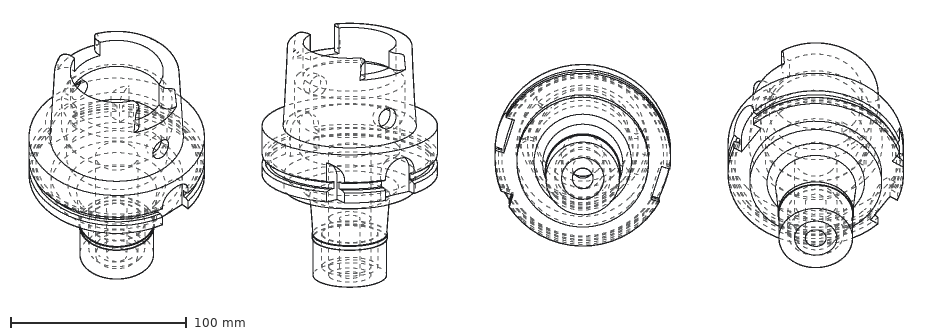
import cadquery as cq
import math

total_length = 140.0
shank_length = 50.0
flange_radius = 50.0
flange_height = 29.0
flange_bottom = -flange_height
part_top = shank_length
part_bottom = shank_length - total_length

taper_slope = 0.05
shank_base_radius = 38.0
shank_top_radius = shank_base_radius - taper_slope * shank_length
rim_fillet = 2.2

chamfer_angle = math.radians(30)

groove_floor_radius = 46.0
groove_chamfer_width = 2.0
groove_chamfer_height = groove_chamfer_width * math.tan(chamfer_angle)
groove_height = 4.0
groove_middle = -19.9
groove_top = groove_middle + groove_height / 2
groove_low = groove_middle - groove_height / 2

collar_radius = 37.5
collar_height = 8.0
collar_bottom = flange_bottom - collar_height
neck_cone_top_radius = 27.7
neck_cone_height = 4.9
neck_top_radius = neck_cone_top_radius - neck_cone_height
neck_top = collar_bottom - neck_cone_height
neck_bottom_radius = 21.1

nut_radius = 21.0
nut_lip_radius = 21.4
nut_lip_height = 2.4
nut_height = 24.8
nut_top = part_bottom + nut_height
nut_end_wall = 5.0
nut_gap = 0.4
neck_bottom = nut_top + nut_gap
nose_radius = 16.0
nose_bottom = part_bottom + nut_end_wall

bore_radius = 26.5
bore_depth = 19.9
undercut_radius = 31.5
undercut_top = part_top - bore_depth
undercut_shoulder = (undercut_radius - bore_radius) * math.tan(chamfer_angle)
undercut_bottom = 9.8
undercut_fillet = 10.0
base_bore_radius = 28.7
bore_floor = -14.7

collet_radius = 12.0
collet_bore_radius = 5.9
collet_length = 34.0

drive_slot_half_width = 10.0
lug_half_length = 32.2
lug_end_radius = 5.0
drive_slot_depth_minus_x = 10.1
drive_slot_depth_plus_x = 15.5

cross_hole_diameter = 12.0
cross_hole_height = 15.0

key_slot_radius = 10.0
key_slot_top = -5.2
key_slot_floor = 44.0
notch_floor = 31.5


def holder_blank():
    """Solid of revolution for the shank, the flange, the collar, the neck and the nose."""
    groove_mouth_radius = flange_radius - groove_chamfer_width
    return (
        cq.Workplane("YZ")
        .moveTo(0, part_top)
        .lineTo(shank_top_radius, part_top)
        .lineTo(shank_base_radius, 0)
        .lineTo(flange_radius, 0)
        .lineTo(flange_radius, groove_top + groove_chamfer_height)
        .lineTo(groove_mouth_radius, groove_top)
        .lineTo(groove_floor_radius, groove_top)
        .lineTo(groove_floor_radius, groove_low)
        .lineTo(groove_mouth_radius, groove_low)
        .lineTo(flange_radius, groove_low - groove_chamfer_height)
        .lineTo(flange_radius, flange_bottom)
        .lineTo(collar_radius, flange_bottom)
        .lineTo(collar_radius, collar_bottom)
        .lineTo(neck_cone_top_radius, collar_bottom)
        .lineTo(neck_top_radius, neck_top)
        .lineTo(neck_bottom_radius, neck_bottom)
        .lineTo(nose_radius, neck_bottom)
        .lineTo(nose_radius, nose_bottom)
        .lineTo(0, nose_bottom)
        .close()
        .revolve(360, (0, 0, 0), (0, 1, 0))
        .faces(">Z")
        .edges()
        .fillet(rim_fillet)
    )


def shank_bore():
    """Shank bore with its clamping undercut, the wide base bore and the axial hole for the collet."""
    fillet_center_radius = undercut_radius - undercut_fillet
    fillet_sweep = math.acos((base_bore_radius - fillet_center_radius) / undercut_fillet)

    def fillet_point(angle):
        """Point on the undercut fillet, by the angle from where it leaves the undercut wall."""
        return (
            fillet_center_radius + undercut_fillet * math.cos(angle),
            undercut_bottom - undercut_fillet * math.sin(angle),
        )

    return (
        cq.Workplane("YZ")
        .moveTo(0, part_top)
        .lineTo(bore_radius, part_top)
        .lineTo(bore_radius, undercut_top)
        .lineTo(undercut_radius, undercut_top - undercut_shoulder)
        .lineTo(undercut_radius, undercut_bottom)
        .threePointArc(fillet_point(fillet_sweep / 2), fillet_point(fillet_sweep))
        .lineTo(base_bore_radius, bore_floor)
        .lineTo(collet_radius, bore_floor)
        .lineTo(collet_radius, nose_bottom)
        .lineTo(0, nose_bottom)
        .close()
        .revolve(360, (0, 0, 0), (0, 1, 0))
    )


def drive_slot(side, depth):
    """Slot through the rim at side * X; it flares at the mouth to round the lug ends."""
    corner_start = lug_half_length - lug_end_radius
    corner_offset = lug_end_radius * math.sqrt(0.5)
    flare_half_width = drive_slot_half_width + lug_end_radius
    half_slot = (
        cq.Workplane("XY", origin=(0, 0, part_top - depth))
        .lineTo(0, drive_slot_half_width)
        .lineTo(side * corner_start, drive_slot_half_width)
        .threePointArc(
            (side * (corner_start + corner_offset), flare_half_width - corner_offset),
            (side * lug_half_length, flare_half_width),
        )
        .lineTo(side * lug_half_length, flange_radius)
        .lineTo(side * flange_radius, flange_radius)
        .lineTo(side * flange_radius, 0)
        .close()
        .extrude(depth)
    )
    return half_slot.union(half_slot.mirror("XZ"))


def cross_hole():
    """Round hole along X through both walls of the shank."""
    return (
        cq.Workplane("YZ", origin=(-flange_radius, 0, cross_hole_height))
        .circle(cross_hole_diameter / 2)
        .extrude(2 * flange_radius)
    )


def arched_slot(side, floor, middle_y):
    """Arch-topped slot in the flange, open downwards and outwards from x = side * floor."""
    arch_middle = key_slot_top - key_slot_radius
    return (
        cq.Workplane("YZ", origin=(side * floor, 0, 0))
        .moveTo(middle_y - key_slot_radius, flange_bottom)
        .lineTo(middle_y - key_slot_radius, arch_middle)
        .threePointArc((middle_y, key_slot_top), (middle_y + key_slot_radius, arch_middle))
        .lineTo(middle_y + key_slot_radius, flange_bottom)
        .close()
        .extrude(side * flange_radius)
    )


def make_holder():
    """Tool holder: blank less the bore, the drive slots, the cross hole and the flange slots."""
    return (
        holder_blank()
        .cut(shank_bore())
        .cut(drive_slot(-1, drive_slot_depth_minus_x))
        .cut(drive_slot(1, drive_slot_depth_plus_x))
        .cut(cross_hole())
        .cut(arched_slot(-1, key_slot_floor, 0))
        .cut(arched_slot(1, key_slot_floor, 0))
        .cut(arched_slot(-1, notch_floor, notch_floor + key_slot_radius))
    )


def make_nut():
    """Lipped clamping nut, a cup around the holder nose with the collet through its end wall."""
    lip_bottom = nut_top - nut_lip_height
    return (
        cq.Workplane("XY", origin=(0, 0, part_bottom))
        .circle(nut_radius)
        .extrude(nut_height)
        .union(
            cq.Workplane("XY", origin=(0, 0, lip_bottom)).circle(nut_lip_radius).extrude(nut_lip_height)
        )
        .cut(cq.Workplane("XY", origin=(0, 0, nose_bottom)).circle(nose_radius).extrude(nut_height))
        .cut(cq.Workplane("XY", origin=(0, 0, part_bottom)).circle(collet_radius).extrude(nut_height))
    )


def make_collet():
    """Collet sleeve with the tool bore along the axis."""
    return (
        cq.Workplane("XY", origin=(0, 0, part_bottom))
        .circle(collet_radius)
        .circle(collet_bore_radius)
        .extrude(collet_length)
    )


holder = make_holder().solids()
nut = make_nut().solids()
collet = make_collet()

result = cq.Compound.makeCompound([holder.val(), nut.val(), collet.val()])